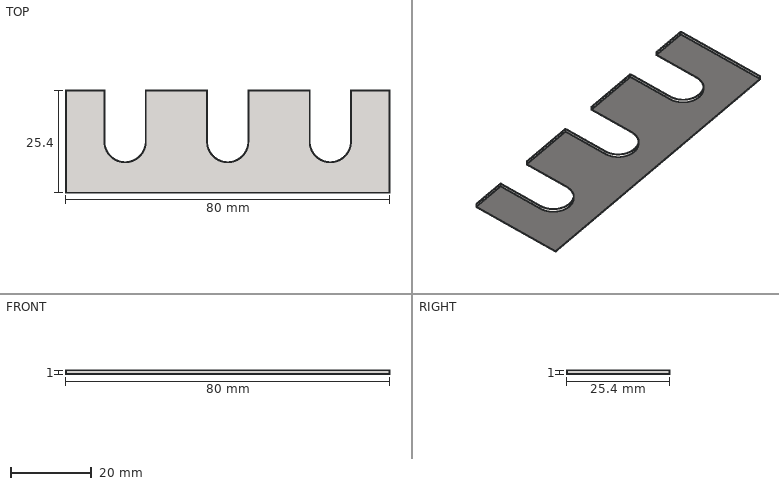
import cadquery as cq

length = 80.0
width = 25.4
thickness = 1.0

slot_count = 3
slot_pitch = 25.4
slot_width = 10.2
slot_depth = 17.8
slot_radius = slot_width / 2
open_edge_y = width / 2
arc_center_y = open_edge_y - slot_depth + slot_radius


def slot_cutter(center_x):
    """Solid of one slot, with a semicircular closed end."""
    return (
        cq.Workplane("XY")
        .moveTo(center_x - slot_radius, open_edge_y)
        .lineTo(center_x - slot_radius, arc_center_y)
        .threePointArc(
            (center_x, open_edge_y - slot_depth),
            (center_x + slot_radius, arc_center_y),
        )
        .lineTo(center_x + slot_radius, open_edge_y)
        .close()
        .extrude(thickness)
    )


result = cq.Workplane("XY").box(length, width, thickness, centered=(True, True, False))

for index in range(slot_count):
    slot_x = (index - (slot_count - 1) / 2) * slot_pitch
    result = result.cut(slot_cutter(slot_x))